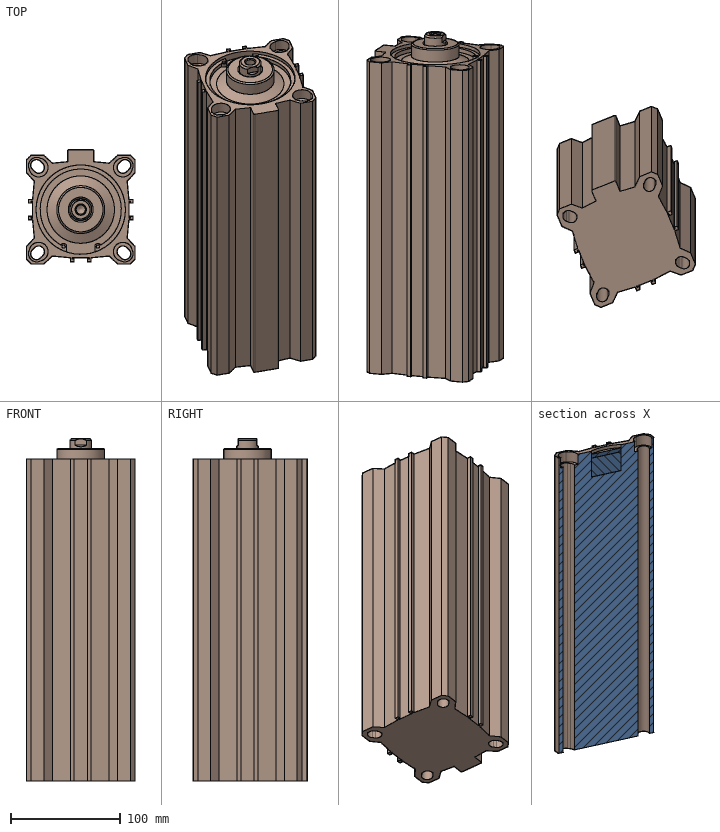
import cadquery as cq
import math


total_height = 314.0
housing_height = 295.5
cover_nose_top = 305.2

half_width = 50.0
corner_chamfer = 4.5
corner_lobe_end = 34.0
web_corner = (26.0, 42.7)
web_middle = 44.3

rail_outer = 9.5
rail_stem = 1.5
rail_lip = 3.5
rail_lip_thickness = 2.8
rail_height = 48.0
rail_angles = (0, -90, 180)

pad_half_width = 12.0
pad_reach = 55.0
pad_fillet = 1.0

bolt_offset = 38.5
bolt_diameter = 10.5
bolt_stretch = 2.8
counterbore_diameter = 17.3
counterbore_lobe_diameter = 15.0
counterbore_lobe_shift = 2.5
counterbore_depth = 10.0

bore_diameter = 82.0
ring_inner_diameter = 74.5
ring_top_depth = 3.0
ring_thickness = 3.8
ring_gap = 25.7
ring_ear_diameter = 5.5
ring_ear_hole = 3.0
ring_ear_position = (15.7, -34.0)

cover_thickness = 18.8
cone_base_diameter = 62.0
cone_top_depth = 2.5
nose_diameter = 44.0
nose_chamfer_height = 1.0
nose_chamfer_width = 1.5
nose_mouth_diameter = 23.0

rod_diameter = 20.0
rod_chamfer = 1.5
flat_width = 17.3
flat_length = 6.0
socket_diameter = 8.5
socket_mouth_diameter = 10.5
socket_depth = 15.7
drill_point_angle = 118.0

ring_bottom = housing_height - ring_top_depth - ring_thickness
cover_bottom = ring_bottom - cover_thickness


def disc(diameter, bottom, height):
    return cq.Workplane("XY").workplane(offset=bottom).circle(diameter / 2).extrude(height)


def cone(bottom_diameter, top_diameter, bottom, height):
    solid = cq.Solid.makeCone(bottom_diameter / 2, top_diameter / 2, height, pnt=cq.Vector(0, 0, bottom))
    return cq.Workplane(obj=solid)


def turn(point, degrees):
    """Rotate a point of the section about the axis."""
    angle = math.radians(degrees)
    x, y = point
    return (x * math.cos(angle) - y * math.sin(angle), x * math.sin(angle) + y * math.cos(angle))


def housing_section():
    """Four equal sides, each listed from its middle flat around the corner that follows."""
    along, across = web_corner
    chamfer_start = half_width - corner_chamfer
    quarter = [
        (web_middle, -rail_outer),
        (web_middle, rail_outer),
        (across, along),
        (half_width, corner_lobe_end),
        (half_width, chamfer_start),
        (chamfer_start, half_width),
        (corner_lobe_end, half_width),
        (along, across),
    ]
    return [turn(point, 90 * side) for side in range(4) for point in quarter]


def rail(side):
    """One hooked rail on the +X face; side is +1 or -1 and the lip points to the middle."""
    stem_inner = rail_outer - rail_stem
    lip_inner = rail_outer - rail_lip
    lip_bottom = rail_height - rail_lip_thickness
    root = web_middle - rail_stem
    outline = [
        (root, rail_outer),
        (rail_height, rail_outer),
        (rail_height, lip_inner),
        (lip_bottom, lip_inner),
        (lip_bottom, stem_inner),
        (root, stem_inner),
    ]
    points = [(x, side * y) for x, y in outline]
    return cq.Workplane("XY").polyline(points).close().extrude(housing_height)


def port_pad():
    pad = cq.Workplane("XY").rect(2 * pad_half_width, pad_reach, centered=(True, False)).extrude(housing_height)
    return pad.edges("|Z and >Y").fillet(pad_fillet)


def bolt_hole():
    """Stretched through hole and two-lobed counterbore, in the corner on the +X+Y diagonal."""
    bolt_distance = bolt_offset * math.sqrt(2)
    hole = (
        cq.Workplane("XY")
        .center(bolt_distance + bolt_stretch / 2, 0)
        .slot2D(bolt_diameter + bolt_stretch, bolt_diameter)
        .extrude(housing_height)
    )
    floor = housing_height - counterbore_depth
    counterbore = disc(counterbore_diameter, floor, counterbore_depth).translate((bolt_distance, 0, 0))
    lobe_distance = bolt_distance + counterbore_lobe_shift
    lobe = disc(counterbore_lobe_diameter, floor, counterbore_depth).translate((lobe_distance, 0, 0))
    return hole.union(counterbore).union(lobe).rotate((0, 0, 0), (0, 0, 1), 45)


def make_housing():
    body = cq.Workplane("XY").polyline(housing_section()).close().extrude(housing_height)
    body = body.union(port_pad())
    for angle in rail_angles:
        for side in (1, -1):
            body = body.union(rail(side).rotate((0, 0, 0), (0, 0, 1), angle))
    for corner in range(4):
        body = body.cut(bolt_hole().rotate((0, 0, 0), (0, 0, 1), 90 * corner))
    return body.cut(disc(bore_diameter, cover_bottom, housing_height - cover_bottom))


def make_cover():
    """Flange below the retaining ring, a conical shoulder and the nose that guides the rod."""
    flange = disc(bore_diameter, cover_bottom, cover_thickness)
    shoulder_height = housing_height - cone_top_depth - ring_bottom
    shoulder = cone(cone_base_diameter, nose_diameter, ring_bottom, shoulder_height)
    nose = disc(nose_diameter, ring_bottom, cover_nose_top - ring_bottom)
    nose = nose.faces(">Z").chamfer(nose_chamfer_height, nose_chamfer_width)
    mouth_depth = (nose_mouth_diameter - rod_diameter) / 2
    mouth = cone(rod_diameter, nose_mouth_diameter, cover_nose_top - mouth_depth, mouth_depth)
    rod_hole = disc(rod_diameter, cover_bottom, total_height - cover_bottom)
    return flange.union(shoulder).union(nose).cut(rod_hole).cut(mouth)


def make_retaining_ring():
    """Open ring in the bore, with a drilled ear at each end of the gap."""
    ring = disc(bore_diameter, ring_bottom, ring_thickness)
    ring = ring.cut(disc(ring_inner_diameter, ring_bottom, ring_thickness))
    gap = (
        cq.Workplane("XY")
        .workplane(offset=ring_bottom)
        .center(0, -bore_diameter / 2)
        .rect(ring_gap, bore_diameter)
        .extrude(ring_thickness)
    )
    ring = ring.cut(gap)
    ear_x, ear_y = ring_ear_position
    for side in (1, -1):
        place = (side * ear_x, ear_y, 0)
        ring = ring.union(disc(ring_ear_diameter, ring_bottom, ring_thickness).translate(place))
        ring = ring.cut(disc(ring_ear_hole, ring_bottom, ring_thickness).translate(place))
    return ring


def wrench_flat_cutter():
    """Removes the +Y side of the rod tip; its lower end slopes at 45 degrees."""
    flat = flat_width / 2
    reach = rod_diameter
    flat_bottom = total_height - flat_length
    outline = [
        (flat, total_height),
        (flat, flat_bottom),
        (reach, flat_bottom - (reach - flat)),
        (reach, total_height),
    ]
    return cq.Workplane("YZ").polyline(outline).close().extrude(rod_diameter, both=True)


def rod_socket():
    """Blind hole in the rod tip with a chamfered mouth and a drill point."""
    socket_bottom = total_height - socket_depth
    point_height = socket_diameter / 2 / math.tan(math.radians(drill_point_angle / 2))
    mouth_depth = (socket_mouth_diameter - socket_diameter) / 2
    drill_point = cone(0, socket_diameter, socket_bottom - point_height, point_height)
    mouth = cone(socket_diameter, socket_mouth_diameter, total_height - mouth_depth, mouth_depth)
    return disc(socket_diameter, socket_bottom, socket_depth).union(drill_point).union(mouth)


def make_rod():
    rod = disc(rod_diameter, cover_bottom, total_height - cover_bottom).faces(">Z").chamfer(rod_chamfer)
    flat_cutter = wrench_flat_cutter()
    rod = rod.cut(flat_cutter).cut(flat_cutter.mirror("XZ"))
    return rod.cut(rod_socket())


housing = make_housing()
cover = make_cover()
retaining_ring = make_retaining_ring()
rod = make_rod()

result = cq.Compound.makeCompound([housing.val(), cover.val(), retaining_ring.val(), rod.val()])